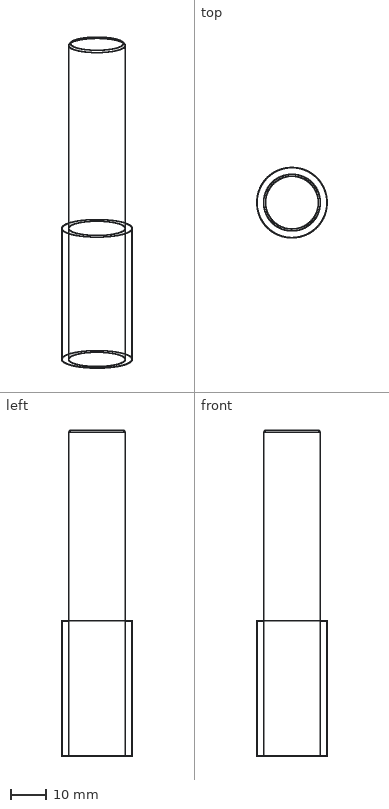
import cadquery as cq

total_height = 92.1
sleeve_diameter = 19.9
sleeve_height = 38.2
pin_diameter = 16.0
pin_chamfer = 0.55


def make_pin():
    """Full-length round pin with a chamfered top edge."""
    pin = cq.Workplane("XY").circle(pin_diameter / 2).extrude(total_height)
    return pin.faces(">Z").chamfer(pin_chamfer)


def make_sleeve():
    """Plain tube around the lower end of the pin, flush with its bottom face."""
    return (
        cq.Workplane("XY")
        .circle(sleeve_diameter / 2)
        .circle(pin_diameter / 2)
        .extrude(sleeve_height)
    )


pin = make_pin()
sleeve = make_sleeve()

result = cq.Compound.makeCompound([pin.val(), sleeve.val()])